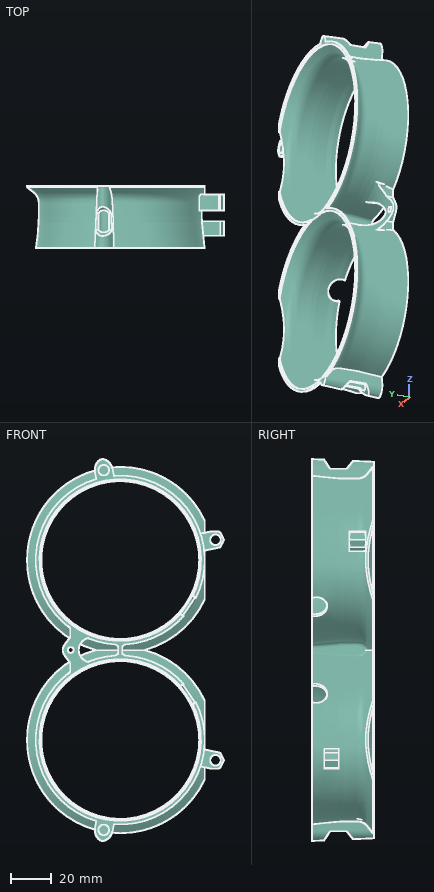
import cadquery as cq
import math

FRONT_Y = -15.25
BACK_Y = 15.25
RING_Z = 44.15
OUTER_X = 96.76
OUTER_Z = 187.58
FLANGE_R = 45.8

TUBE_R = 40.1
FRONT_R = 41.5
FLARE_R = 42.0
FLARE_START_Y = 7.1
FLARE_END_Y = 11.6
RIM_Y = 14.6
TUBE_FRONT_Y = 0.3
TAPER_START_Y = -2.5
TAPER_START_GROWTH = 0.1
BORE_R = 38.7
FRONT_BORE_R = 39.7
BORE_STEP_R = 39.4
BORE_LAND_Y = (-12.3, -9.5)
WALL = TUBE_R - BORE_R
FLAT_X = 41.5

EDGE_NOTCH_R = 5.6
EDGE_NOTCH_Y = -13.4
EDGE_NOTCH_ANGLE = 34.0

SIDE_LUG_ANGLE = 12.0
SIDE_LUG_HOLE_R = 2.55
SIDE_LUG_TIP_X = OUTER_X - FLANGE_R
SIDE_LUG_TIP = 4.2
SIDE_LUG_EDGE_TOP = (-2.1, 4.2)
SIDE_LUG_SHOULDERS = [(1.5, 4.2), (2.4, 3.6)]
SIDE_LUG_EDGE_BOTTOM = (2.4, -3.7)
UPPER_LUG_Y = (3.1, 11.1)
LOWER_LUG_Y = (-9.3, -2.0)

BOSS_ANGLE = 10.4
BOSS_HOLE_R = 2.6
BOSS_HOLE_AT = 44.85
BOSS_HOLE_END_Y = 5.0
BOSS_HALF_WIDTH = 4.4
BOSS_SHOULDER = -0.3
BOSS_BULGE = (3.6, 3.0)
BOSS_TIP_HALF_WIDTH = 1.4
BOSS_TIP_R = 2.9
BOSS_TAPER = 2.5
BOSS_NOTCH_FLOOR_Z = 89.0
BOSS_NOTCH_FLOOR_Y = (-6.3, 1.8)
BOSS_NOTCH_TOP_Y = (-9.5, 5.7)

PLATE_THICKNESS = 1.75
PLATE_BACK_Y = FRONT_Y + PLATE_THICKNESS
PLATE_LEFT_X = -24.5
BRIDGE_HOLE_X = -24.3
BRIDGE_HOLE_R = 1.35
BRIDGE_EAR_R = 4.0
EAR_FLANK_Z = 6.6
WINDOW_X = -14.2
WINDOW_R = 6.1
PLATE_ROOT_START_Z = 9.8
PLATE_ROOT_MIDDLE = (-24.75, 11.0)
PLATE_ROOT_END = (-25.6, 12.2)
GUSSET_R = 11.0
GUSSET_BACK_Y = PLATE_BACK_Y + GUSSET_R
RIB_THICKNESS = 1.8
RIB_BACK_Y = 13.6
RIB_FILLET = 2.0


def along_y(start, end):
    """XZ workplane at Y = start, and the signed distance that extrudes it to Y = end."""
    return cq.Workplane("XZ", origin=(0, start, 0)), start - end


def prism(points, start, end):
    plane, depth = along_y(start, end)
    return plane.polyline(points).close().extrude(depth)


def cylinder(x, z, radius, start, end):
    plane, depth = along_y(start, end)
    return plane.center(x, z).circle(radius).extrude(depth)


def flare_middle(start, end):
    """Midpoint of the flare arc, which leaves the straight wall parallel to the ring axis."""
    rise = end[0] - start[0]
    run = end[1] - start[1]
    radius = (rise**2 + run**2) / (2 * rise)
    half_angle = math.asin(run / radius) / 2
    return (start[0] + radius * (1 - math.cos(half_angle)), start[1] + radius * math.sin(half_angle))


def revolve_wall(offset, front_points):
    """Solid of revolution bounded by the wall's profile moved inwards by offset."""
    straight_end = (TUBE_R - offset, FLARE_START_Y)
    flare_end = (FLARE_R - offset, FLARE_END_Y)
    rim = FLANGE_R - offset
    profile = cq.Workplane("XY").moveTo(0, FRONT_Y)
    for point in front_points:
        profile = profile.lineTo(*point)
    return (
        profile.lineTo(TUBE_R - offset, TUBE_FRONT_Y)
        .lineTo(*straight_end)
        .threePointArc(flare_middle(straight_end, flare_end), flare_end)
        .lineTo(rim, RIM_Y)
        .lineTo(rim, BACK_Y)
        .lineTo(0, BACK_Y)
        .close()
        .revolve(360, (0, 0, 0), (0, 1, 0))
    )


def ring_body():
    body = revolve_wall(0, [(FRONT_R, FRONT_Y), (TUBE_R + TAPER_START_GROWTH, TAPER_START_Y)])
    beyond_flat = cq.Workplane("XY").box(
        FLANGE_R, BACK_Y - FRONT_Y, 2 * FLANGE_R
    ).translate((FLAT_X + FLANGE_R / 2, 0, 0))
    return body.cut(beyond_flat)


def ring_bore():
    return revolve_wall(WALL, [
        (FRONT_BORE_R, FRONT_Y),
        (BORE_STEP_R, BORE_LAND_Y[0]),
        (BORE_STEP_R, BORE_LAND_Y[1]),
        (BORE_R + TAPER_START_GROWTH, TAPER_START_Y),
    ])


def both_rings(shape):
    """The shape placed on the upper ring axis, joined with its mirror image."""
    placed = shape.translate((0, 0, RING_Z))
    return placed.union(placed.mirror("XY"))


def edge_notch():
    """Radial round cutter that opens the front edge of a ring centred on the origin."""
    cutter = cq.Workplane("YZ").center(EDGE_NOTCH_Y, 0).circle(EDGE_NOTCH_R).extrude(FLANGE_R)
    return cutter.rotate((0, 0, 0), (0, 1, 0), EDGE_NOTCH_ANGLE)


def side_lug(y_range):
    """Faceted lug on the upper ring, reaching in to the ring wall and drilled along Y."""
    slope = math.tan(math.radians(SIDE_LUG_ANGLE))
    hole_x = SIDE_LUG_TIP_X - SIDE_LUG_TIP
    hole_z = RING_Z + hole_x * slope
    root_x = BORE_R - hole_x
    top_x, top_z = SIDE_LUG_EDGE_TOP
    bottom_x, bottom_z = SIDE_LUG_EDGE_BOTTOM
    corners = [
        (root_x, top_z - (top_x - root_x) * slope),
        SIDE_LUG_EDGE_TOP,
        *SIDE_LUG_SHOULDERS,
        (SIDE_LUG_TIP, 0),
        SIDE_LUG_EDGE_BOTTOM,
        (root_x, bottom_z - (bottom_x - root_x) * slope),
    ]
    lug = prism(corners, *y_range).cut(cylinder(0, 0, SIDE_LUG_HOLE_R, *y_range))
    return lug.translate((hole_x, 0, hole_z))


def end_boss():
    """Tapered, round-flanked boss on the far end of the upper ring, notched to open its hole."""
    shoulder = BOSS_HOLE_AT + BOSS_SHOULDER
    bulge_x = BOSS_BULGE[0]
    bulge = BOSS_HOLE_AT + BOSS_BULGE[1]
    plane, depth = along_y(FRONT_Y, BACK_Y)
    tilt = math.radians(BOSS_ANGLE)
    tip_centre = (OUTER_Z / 2 - RING_Z - BOSS_TIP_R) / math.cos(tilt)
    tip_edge = tip_centre + math.sqrt(BOSS_TIP_R**2 - BOSS_TIP_HALF_WIDTH**2)
    tip = tip_centre + BOSS_TIP_R
    boss = (
        plane.moveTo(-BOSS_HALF_WIDTH, BORE_R)
        .lineTo(BOSS_HALF_WIDTH, BORE_R)
        .lineTo(BOSS_HALF_WIDTH, shoulder)
        .threePointArc((bulge_x, bulge), (BOSS_TIP_HALF_WIDTH, tip_edge))
        .threePointArc((0, tip), (-BOSS_TIP_HALF_WIDTH, tip_edge))
        .threePointArc((-bulge_x, bulge), (-BOSS_HALF_WIDTH, shoulder))
        .close()
        .extrude(depth, taper=BOSS_TAPER)
    )
    boss = boss.cut(cylinder(0, BOSS_HOLE_AT, BOSS_HOLE_R, FRONT_Y, BOSS_HOLE_END_Y))
    boss = boss.rotate((0, 0, 0), (0, 1, 0), -BOSS_ANGLE).translate((0, 0, RING_Z))
    top = OUTER_Z / 2
    notch = (
        cq.Workplane("YZ")
        .polyline([
            (BOSS_NOTCH_TOP_Y[0], top),
            (BOSS_NOTCH_FLOOR_Y[0], BOSS_NOTCH_FLOOR_Z),
            (BOSS_NOTCH_FLOOR_Y[1], BOSS_NOTCH_FLOOR_Z),
            (BOSS_NOTCH_TOP_Y[1], top),
        ])
        .close()
        .extrude(FLANGE_R, both=True)
    )
    return boss.cut(notch)


def bridge_plate(start, end):
    """Plate outline between the ring axes, with its rounded ear, swept from start to end along Y."""
    flank_length = math.hypot(PLATE_LEFT_X - BRIDGE_HOLE_X, EAR_FLANK_Z)
    flank_direction = math.atan2(EAR_FLANK_Z, PLATE_LEFT_X - BRIDGE_HOLE_X)
    tangent_direction = flank_direction + math.acos(BRIDGE_EAR_R / flank_length)
    tangent_x = BRIDGE_HOLE_X + BRIDGE_EAR_R * math.cos(tangent_direction)
    tangent_z = BRIDGE_EAR_R * math.sin(tangent_direction)
    plate_top = RING_Z - math.sqrt(BORE_R**2 - PLATE_ROOT_END[0]**2)
    root_middle_x, root_middle_z = PLATE_ROOT_MIDDLE
    root_x, root_z = PLATE_ROOT_END
    plane, depth = along_y(start, end)
    return (
        plane.moveTo(WINDOW_X, -plate_top)
        .lineTo(root_x, -plate_top)
        .lineTo(root_x, -root_z)
        .threePointArc((root_middle_x, -root_middle_z), (PLATE_LEFT_X, -PLATE_ROOT_START_Z))
        .lineTo(PLATE_LEFT_X, -EAR_FLANK_Z)
        .lineTo(tangent_x, -tangent_z)
        .threePointArc((BRIDGE_HOLE_X - BRIDGE_EAR_R, 0), (tangent_x, tangent_z))
        .lineTo(PLATE_LEFT_X, EAR_FLANK_Z)
        .lineTo(PLATE_LEFT_X, PLATE_ROOT_START_Z)
        .threePointArc((root_middle_x, root_middle_z), (root_x, root_z))
        .lineTo(root_x, plate_top)
        .lineTo(WINDOW_X, plate_top)
        .close()
        .extrude(depth)
    )


def gusset_ring():
    """Concave blend between the back of the plate and the ring wall, all round the ring axis."""
    outer = TUBE_R + GUSSET_R
    to_arc = GUSSET_R * math.sqrt(0.5)
    return (
        cq.Workplane("XY")
        .moveTo(BORE_R, PLATE_BACK_Y)
        .lineTo(outer, PLATE_BACK_Y)
        .threePointArc((outer - to_arc, GUSSET_BACK_Y - to_arc), (TUBE_R, GUSSET_BACK_Y))
        .lineTo(BORE_R, GUSSET_BACK_Y)
        .close()
        .revolve(360, (0, 0, 0), (0, 1, 0))
    )


def bridge():
    """Drilled front plate between the rings, with concave gussets behind it and a rounded window."""
    gussets = bridge_plate(PLATE_BACK_Y, GUSSET_BACK_Y).intersect(both_rings(gusset_ring()))
    plate = bridge_plate(FRONT_Y, PLATE_BACK_Y).union(gussets)
    window = cylinder(WINDOW_X, 0, WINDOW_R, FRONT_Y, GUSSET_BACK_Y)
    screw_hole = cylinder(BRIDGE_HOLE_X, 0, BRIDGE_HOLE_R, FRONT_Y, GUSSET_BACK_Y)
    return plate.cut(window).cut(screw_hole)


def ribbed_rings():
    """The two ring bodies joined by a rib where they come closest, with filleted inside corners."""
    rib = cq.Workplane("XY").box(
        RIB_THICKNESS, RIB_BACK_Y - FRONT_Y, 2 * (RING_Z - BORE_R)
    ).translate((0, (RIB_BACK_Y + FRONT_Y) / 2, 0))
    body = both_rings(ring_body()).union(rib)
    gap = RING_Z - TUBE_R + RIB_FILLET
    core = RIB_THICKNESS / 4
    around_rib = cq.selectors.BoxSelector(
        (-RIB_THICKNESS, FRONT_Y + RIB_FILLET, -gap), (RIB_THICKNESS, RIM_Y, gap)
    )
    rib_core = cq.selectors.BoxSelector((-core, FRONT_Y, -gap), (core, BACK_Y, gap))
    return body.edges(around_rib - rib_core).fillet(RIB_FILLET)


result = ribbed_rings().union(bridge())
result = result.union(end_boss()).union(end_boss().mirror("XY"))
result = result.union(side_lug(UPPER_LUG_Y)).union(side_lug(LOWER_LUG_Y).mirror("XY"))
result = result.cut(both_rings(ring_bore())).cut(both_rings(edge_notch()))